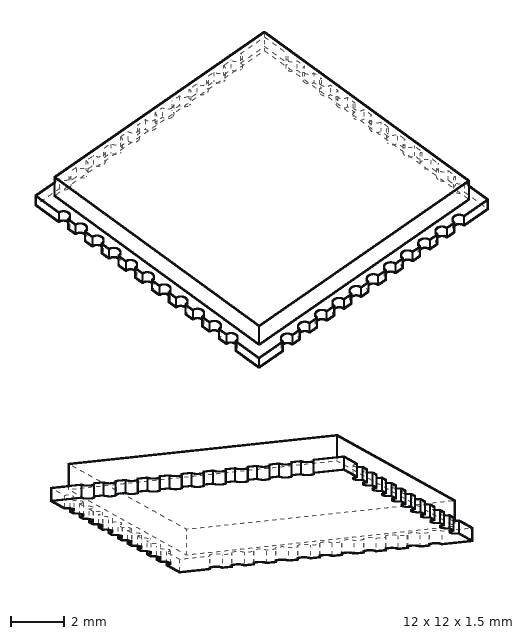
import cadquery as cq

board_side = 12.0
board_thickness = 0.5
notch_count = 11
notch_pitch = 0.9
notch_radius = 0.25

total_height = 1.5
shield_margin = 0.5
shield_side = board_side - 2 * shield_margin
shield_height = total_height - board_thickness


def edge_notches():
    """Cylinders centred on the board edges, cutting half-round notches."""
    half_side = board_side / 2
    half_row = notch_pitch * (notch_count - 1) / 2
    centres = []
    for index in range(notch_count):
        along = index * notch_pitch - half_row
        centres += [(along, -half_side), (along, half_side)]
        centres += [(-half_side, along), (half_side, along)]
    return cq.Workplane("XY").pushPoints(centres).circle(notch_radius).extrude(board_thickness)


def shield_can():
    """Plain square block standing on the board."""
    return (
        cq.Workplane("XY")
        .workplane(offset=board_thickness)
        .rect(shield_side, shield_side)
        .extrude(shield_height)
    )


board = cq.Workplane("XY").rect(board_side, board_side).extrude(board_thickness)
result = board.cut(edge_notches()).union(shield_can())